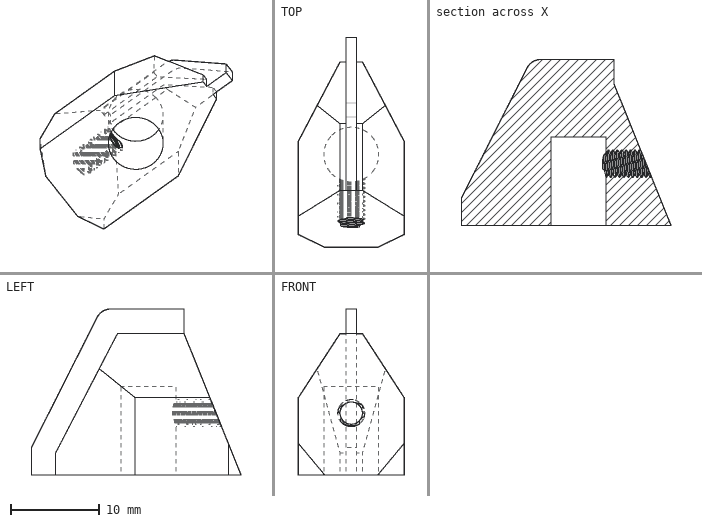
import cadquery as cq
import math

BODY_WIDTH = 12.0
BODY_LENGTH = 21.0
BODY_HEIGHT = 16.0
RIDGE_WIDTH = 2.55
FRONT_TOP_Y = 6.45
REAR_TOP_Y = 14.0
REAR_WALL_HEIGHT = 2.5
SIDE_WALL_HEIGHT = 8.75
SIDE_WALL_END_Y = 12.0
FRONT_CORNER_X = 3.0
FRONT_CORNER_Y = 1.45

FIN_WIDTH = 1.2
FIN_RISE = 2.8
FIN_OVERHANG = 2.75
FIN_REAR_HEIGHT = 3.1
FIN_SHOULDER_Y = 15.83
FIN_ROUND_RADIUS = 1.77

BORE_DIAMETER = 6.2
BORE_DEPTH = 10.0
BORE_Y = BODY_LENGTH / 2
SCREW_Z = 7.0
THREAD_MINOR_DIAMETER = 2.52
THREAD_MAJOR_DIAMETER = 3.06
THREAD_PITCH = 0.5
THREAD_ANGLE = 60.0
THREAD_ROOT_WIDTH = THREAD_PITCH / 8
THREAD_START_Y = 0.72
GROOVE_END_GAP = 1.5
GROOVE_OVERLAP = 0.05


def make_body():
    """Intersect the side profile, plan and front outline of the faceted body."""
    half_width = BODY_WIDTH / 2
    half_ridge = RIDGE_WIDTH / 2
    side_profile = (
        cq.Workplane("YZ")
        .polyline([
            (0, 0),
            (BODY_LENGTH, 0),
            (BODY_LENGTH, REAR_WALL_HEIGHT),
            (REAR_TOP_Y, BODY_HEIGHT),
            (FRONT_TOP_Y, BODY_HEIGHT),
        ])
        .close()
        .extrude(half_width, both=True)
    )
    foot_half = half_width - FRONT_CORNER_X
    plan = (
        cq.Workplane("XY")
        .polyline([
            (-foot_half, 0),
            (foot_half, 0),
            (half_width, FRONT_CORNER_Y),
            (half_width, SIDE_WALL_END_Y),
            (half_ridge, BODY_LENGTH),
            (-half_ridge, BODY_LENGTH),
            (-half_width, SIDE_WALL_END_Y),
            (-half_width, FRONT_CORNER_Y),
        ])
        .close()
        .extrude(BODY_HEIGHT)
    )
    front_outline = (
        cq.Workplane("XZ")
        .polyline([
            (-half_width, 0),
            (half_width, 0),
            (half_width, SIDE_WALL_HEIGHT),
            (half_ridge, BODY_HEIGHT),
            (-half_ridge, BODY_HEIGHT),
            (-half_width, SIDE_WALL_HEIGHT),
        ])
        .close()
        .extrude(-BODY_LENGTH)
    )
    return side_profile.intersect(plan).intersect(front_outline)


def make_fin():
    """Thin pointer fin that stands above the top and behind the rear slope."""
    fin_top = BODY_HEIGHT + FIN_RISE
    fin_rear = BODY_LENGTH + FIN_OVERHANG
    fin = (
        cq.Workplane("YZ")
        .polyline([
            (FRONT_TOP_Y, 0),
            (fin_rear, 0),
            (fin_rear, FIN_REAR_HEIGHT),
            (FIN_SHOULDER_Y, fin_top),
            (FRONT_TOP_Y, fin_top),
        ])
        .close()
        .extrude(FIN_WIDTH / 2, both=True)
    )
    shoulder = cq.selectors.NearestToPointSelector((0, FIN_SHOULDER_Y, fin_top))
    return fin.edges("|X").edges(shoulder).fillet(FIN_ROUND_RADIUS)


def make_bore():
    """Blind shaft bore, open at the base."""
    return cq.Workplane("XY").center(0, BORE_Y).circle(BORE_DIAMETER / 2).extrude(BORE_DEPTH)


def make_screw_hole():
    """Threaded hole along Y from the front face into the shaft bore."""
    length = BORE_Y - THREAD_START_Y
    minor_radius = THREAD_MINOR_DIAMETER / 2
    major_radius = THREAD_MAJOR_DIAMETER / 2
    drill = cq.Workplane("XY").circle(minor_radius).extrude(length)

    inner_radius = minor_radius - GROOVE_OVERLAP
    flank_run = (major_radius - inner_radius) * math.tan(math.radians(THREAD_ANGLE / 2))
    half_root = THREAD_ROOT_WIDTH / 2
    half_mouth = half_root + flank_run
    groove_length = length - GROOVE_END_GAP
    helix = cq.Wire.makeHelix(THREAD_PITCH, groove_length, minor_radius)
    groove = (
        cq.Workplane("XZ")
        .polyline([
            (inner_radius, -half_mouth),
            (major_radius, -half_root),
            (major_radius, half_root),
            (inner_radius, half_mouth),
        ])
        .close()
        .sweep(cq.Workplane(obj=helix), isFrenet=True)
    )
    cutter = drill.union(groove)
    lay_along_y = cq.Location(cq.Vector(0, THREAD_START_Y, SCREW_Z), cq.Vector(1, 0, 0), -90)
    return cq.Workplane(obj=cutter.val().moved(lay_along_y))


knob = make_body().union(make_fin())
result = knob.cut(make_bore()).cut(make_screw_hole())